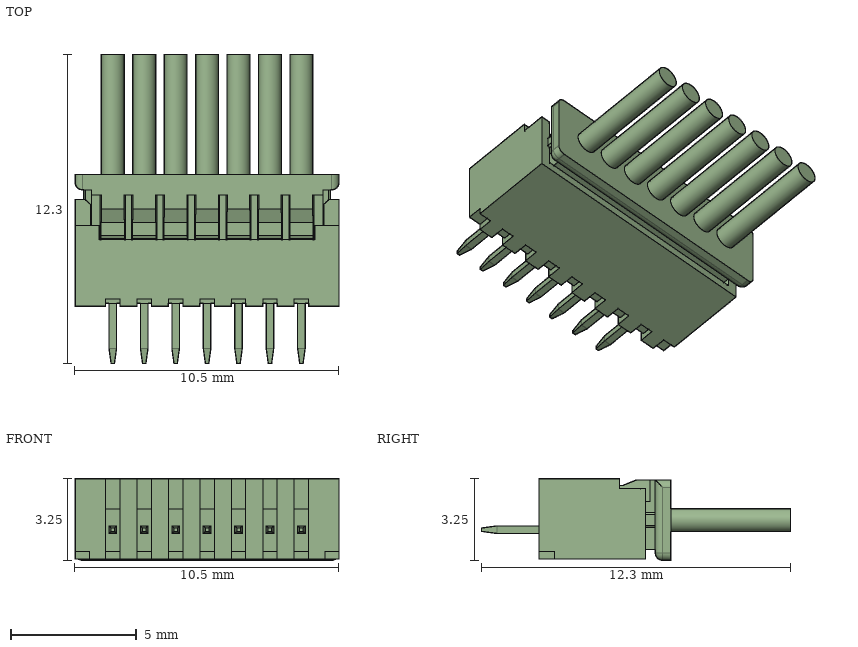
import cadquery as cq


contact_count = 7
pitch = 1.25
width = 10.5
contact_xs = [(i - (contact_count - 1) / 2) * pitch for i in range(contact_count)]
between_xs = [(i - (contact_count - 2) / 2) * pitch for i in range(contact_count - 1)]

header_depth = 4.25
header_height = 3.2
step_y = 3.22
step_z = 2.8
cavity_half_width = 4.64
cavity_floor_y = 1.0
cavity_bottom_z = 0.38
cavity_top_z = 2.87
lead_in = 0.2
window_half_width = 4.3
window_front_y = 2.65

groove_width = 0.57
groove_shelf_z = 2.0
groove_deep = 0.3
groove_shallow = 0.12
foot_notch_width = 0.57
foot_notch_depth = 0.62
foot_notch_height = 0.3

pin_size = 0.31
pin_z = 1.17
pin_tip_size = 0.14
pin_tip_y = -2.28
pin_taper_length = 0.61

plug_bottom_z = -0.05
plug_height = 3.2
plug_top_z = plug_bottom_z + plug_height
flange_front_y = 4.63
flange_back_y = 5.25
flange_radius = 0.3
body_half_width = 4.6
nose_top_z = cavity_top_z
nose_end_y = 2.7
finger_front_y = 2.82
finger_flat_z = 2.93
finger_slope_front_y = 3.33
finger_slope_back_y = 3.88
slot_floor_z = 2.29
slot_back_y = 4.42
slot_width = 0.36
slot_floor_width = 0.25
end_slot_width = 0.6
fingers_half_width = contact_count * pitch / 2 - slot_width / 2

rib_half_width = 4.91
rib_bottom_z = 1.26
rib_top_z = 1.86
rib_chamfer = 0.08

wire_diameter = 0.92
wire_z = plug_bottom_z + plug_height / 2
wire_end_y = 10.02


def block(x_range, y_range, z_range):
    """Box given by its lower and upper limits along each axis."""
    (x0, x1), (y0, y1), (z0, z1) = x_range, y_range, z_range
    return cq.Workplane("XY").box(x1 - x0, y1 - y0, z1 - z0, centered=False).translate((x0, y0, z0))


def centred_block(x_centre, x_size, y_range, z_range):
    """Box centred on x_centre along X."""
    return block((x_centre - x_size / 2, x_centre + x_size / 2), y_range, z_range)


def rib_bar():
    """Bar across the full width whose ends are the two chamfered polarising ribs."""
    bar = centred_block(0, 2 * rib_half_width, (cavity_floor_y, flange_front_y), (rib_bottom_z, rib_top_z))
    return bar.edges("|Y").chamfer(rib_chamfer)


def plug_cavity():
    """Space in the header for the plug, with a flared mouth and ways for the ribs."""
    mouth = cavity_half_width + lead_in
    outline = [
        (-cavity_half_width, cavity_floor_y),
        (cavity_half_width, cavity_floor_y),
        (cavity_half_width, header_depth - lead_in),
        (mouth, header_depth),
        (-mouth, header_depth),
        (-cavity_half_width, header_depth - lead_in),
    ]
    cavity = cq.Workplane("XY").workplane(offset=cavity_bottom_z).polyline(outline).close()
    return cavity.extrude(cavity_top_z - cavity_bottom_z).union(rib_bar())


def pin_groove(x):
    """Stepped groove in the header front around one pin."""
    upper = centred_block(x, groove_width, (0, groove_deep), (groove_shelf_z, header_height))
    lower = centred_block(x, groove_width, (0, groove_shallow), (0, groove_shelf_z))
    foot = centred_block(x, groove_width, (0, foot_notch_depth), (0, foot_notch_height))
    return upper.union(lower).union(foot)


def pin(x):
    """Square pin with a pyramidal tip, rooted in the front wall of the header."""
    taper_y = pin_tip_y + pin_taper_length
    shank = centred_block(x, pin_size, (taper_y, groove_deep), (pin_z - pin_size / 2, pin_z + pin_size / 2))
    tip = (
        cq.Workplane("XZ", origin=(x, taper_y, pin_z))
        .rect(pin_size, pin_size)
        .workplane(offset=pin_taper_length)
        .rect(pin_tip_size, pin_tip_size)
        .loft()
    )
    return shank.union(tip)


def make_header():
    header = centred_block(0, width, (0, header_depth), (0, header_height))
    header = header.cut(centred_block(0, width, (step_y, header_depth), (step_z, header_height)))
    header = header.cut(plug_cavity())
    window = centred_block(0, 2 * window_half_width, (window_front_y, step_y), (cavity_top_z, header_height))
    header = header.cut(window)
    for side in (-1, 1):
        notch_x = side * (width - foot_notch_width) / 2
        notch = centred_block(notch_x, foot_notch_width, (0, foot_notch_depth), (0, foot_notch_height))
        header = header.cut(notch)
    for x in contact_xs:
        header = header.cut(pin_groove(x))
    for x in contact_xs:
        header = header.union(pin(x))
    return header


def plug_flange():
    """Back flange, rounded along its ends and its lower front edge."""
    flange = centred_block(0, width, (flange_front_y, flange_back_y), (plug_bottom_z, plug_top_z))
    front_edges = flange.edges("(<Y and |Z) or (|Y) or (<Y and <Z)")
    return front_edges.fillet(flange_radius)


def finger_slot(x, top_width):
    """Slot with drafted sides that separates the latch fingers."""
    floor_width = top_width - slot_width + slot_floor_width
    section = [
        (x - floor_width / 2, slot_floor_z),
        (x + floor_width / 2, slot_floor_z),
        (x + top_width / 2, plug_top_z),
        (x - top_width / 2, plug_top_z),
    ]
    slot = cq.Workplane("XZ", origin=(0, slot_back_y, 0)).polyline(section).close()
    return slot.extrude(slot_back_y - cavity_floor_y)


def plug_body():
    """Plug body with its row of sloped latch fingers."""
    profile = [
        (cavity_floor_y, cavity_bottom_z),
        (flange_back_y, cavity_bottom_z),
        (flange_back_y, plug_top_z),
        (finger_slope_back_y, plug_top_z),
        (finger_slope_front_y, finger_flat_z),
        (finger_front_y, finger_flat_z),
        (nose_end_y, nose_top_z),
        (cavity_floor_y, nose_top_z),
    ]
    body = cq.Workplane("YZ").polyline(profile).close().extrude(body_half_width, both=True)
    for x in between_xs:
        body = body.cut(finger_slot(x, slot_width))
    for side in (-1, 1):
        end_x = side * (fingers_half_width + end_slot_width / 2)
        body = body.cut(finger_slot(end_x, end_slot_width))
    return body


def make_plug():
    plug = plug_body().union(plug_flange()).union(rib_bar())
    for x in contact_xs:
        wire = (
            cq.Workplane("XZ", origin=(x, flange_back_y, wire_z))
            .circle(wire_diameter / 2)
            .extrude(flange_back_y - wire_end_y)
        )
        plug = plug.union(wire)
    return plug


header = make_header()
plug = make_plug()
result = cq.Compound.makeCompound([header.solids().val(), plug.solids().val()])